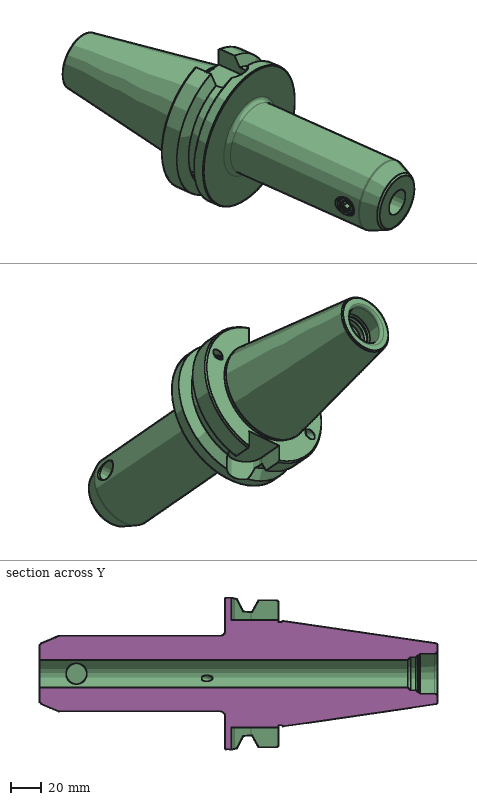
import cadquery as cq
import math

total_length = 261.8

gauge_radius = 34.8
gauge_x = 101.8
taper_slope = 7 / 24 / 2
taper_end_chamfer = 0.8
neck_start_x = 102.5
neck_radius = 34.0

flange_start_x = 104.5
flange_end_x = 139.8
flange_radius = 50.0
flange_chamfer = 1.0
flange_rear_chamfer = 0.5
groove_center_x = 125.0
groove_floor_width = 5.8
groove_floor_radius = 42.7
groove_wall_angle = 30.0

slot_width = 25.7
slot_floor_height = 35.3
slot_end_x = 135.5

shank_radius = 50.0 / 2
shank_fillet = 3.1
nose_start_x = 249.0
nose_blend_radius = 1.8
nose_radius = 18.8
nose_chamfer = 1.3

mouth_radius = 15.2
pilot_radius = 13.0
pilot_end_x = 11.3
middle_radius = 12.0
middle_end_x = 13.0
thread_radius = 10.7
thread_end_x = 17.8
bore_radius = 9.0

coolant_turn = 20.0
coolant_tilt = 35.0
coolant_radius = 2.0
coolant_mouth_hole_radius = 3.5
coolant_mouth_depth = 4.0
coolant_mouth_radius = 42.0
cross_hole_radius = 2.4

screw_x = 237.5
screw_radius = 6.8
screw_hole_rim_radius = 7.9
screw_recess = 1.5
screw_chamfer = 1.3
hex_across_flats = 6.0
hex_lead_in_radius = 4.0
hex_depth = 5.2


def revolved_body():
    """Outer shape of the holder, revolved about X."""
    taper_start_radius = gauge_radius - gauge_x * taper_slope
    wall_length = (flange_radius - groove_floor_radius) * math.tan(math.radians(groove_wall_angle))
    floor_start_x = groove_center_x - groove_floor_width / 2
    floor_end_x = groove_center_x + groove_floor_width / 2
    body = (
        cq.Workplane("XZ")
        .moveTo(0, 0)
        .lineTo(0, taper_start_radius - taper_end_chamfer)
        .lineTo(taper_end_chamfer, taper_start_radius + taper_end_chamfer * taper_slope)
        .lineTo(gauge_x, gauge_radius)
        .lineTo(neck_start_x, neck_radius)
        .lineTo(flange_start_x, neck_radius)
        .lineTo(flange_start_x, flange_radius - flange_chamfer)
        .lineTo(flange_start_x + flange_chamfer, flange_radius)
        .lineTo(floor_start_x - wall_length, flange_radius)
        .lineTo(floor_start_x, groove_floor_radius)
        .lineTo(floor_end_x, groove_floor_radius)
        .lineTo(floor_end_x + wall_length, flange_radius)
        .lineTo(flange_end_x - flange_rear_chamfer, flange_radius)
        .lineTo(flange_end_x, flange_radius - flange_rear_chamfer)
        .lineTo(flange_end_x, shank_radius + shank_fillet)
        .radiusArc((flange_end_x + shank_fillet, shank_radius), -shank_fillet)
        .lineTo(nose_start_x, shank_radius)
        .lineTo(total_length - nose_chamfer, nose_radius + nose_chamfer)
        .lineTo(total_length, nose_radius)
        .lineTo(total_length, 0)
        .close()
        .revolve(360, (0, 0, 0), (1, 0, 0))
    )
    nose_edge = cq.selectors.BoxSelector(
        (nose_start_x - nose_chamfer, -total_length, -total_length),
        (nose_start_x + nose_chamfer, total_length, total_length),
    )
    return body.edges(nose_edge).fillet(nose_blend_radius)


def stepped_bore():
    """Through bore: rounded mouth, pilot, two narrower steps and a plain bore, joined by 45 degree cones."""
    mouth_rounding = mouth_radius - pilot_radius
    return (
        cq.Workplane("XZ")
        .moveTo(0, 0)
        .lineTo(0, mouth_radius)
        .radiusArc((mouth_rounding, pilot_radius), -mouth_rounding)
        .lineTo(pilot_end_x, pilot_radius)
        .lineTo(pilot_end_x + pilot_radius - middle_radius, middle_radius)
        .lineTo(middle_end_x, middle_radius)
        .lineTo(middle_end_x + middle_radius - thread_radius, thread_radius)
        .lineTo(thread_end_x, thread_radius)
        .lineTo(thread_end_x + thread_radius - bore_radius, bore_radius)
        .lineTo(total_length, bore_radius)
        .lineTo(total_length, 0)
        .close()
        .revolve(360, (0, 0, 0), (1, 0, 0))
    )


def drive_slot(side):
    """Round-ended slot above (side = 1) or below (side = -1) the axis, open toward the taper."""
    slot_radius = slot_width / 2
    arc_center_x = slot_end_x - slot_radius
    return (
        cq.Workplane("XY")
        .workplane(offset=side * slot_floor_height)
        .moveTo(gauge_x, -slot_radius)
        .lineTo(arc_center_x, -slot_radius)
        .threePointArc((slot_end_x, 0), (arc_center_x, slot_radius))
        .lineTo(gauge_x, slot_radius)
        .close()
        .extrude(side * flange_radius)
    )


def coolant_passage(turn):
    """Hole from the flange face inclined to the bore, with a cross hole from the groove floor."""
    tilt = math.radians(coolant_tilt)
    direction = cq.Vector(math.cos(tilt), -math.sin(tilt), 0)
    mouth = cq.Vector(flange_start_x, coolant_mouth_radius, 0)
    lead_in = 2 * coolant_mouth_hole_radius
    length = coolant_mouth_radius / math.sin(tilt)
    inclined = cq.Solid.makeCylinder(coolant_radius, length, mouth, direction)
    widening = cq.Solid.makeCylinder(
        coolant_mouth_hole_radius,
        coolant_mouth_depth + lead_in,
        mouth - direction * lead_in,
        direction,
    )

    meeting_radius = coolant_mouth_radius - (groove_center_x - flange_start_x) * math.tan(tilt)
    cross = cq.Solid.makeCylinder(
        cross_hole_radius,
        flange_radius - meeting_radius,
        cq.Vector(groove_center_x, meeting_radius, 0),
        cq.Vector(0, 1, 0),
    )
    passage = cq.Workplane(obj=inclined).union(cq.Workplane(obj=widening)).union(cq.Workplane(obj=cross))
    return passage.rotate((0, 0, 0), (1, 0, 0), turn)


def screw_hole():
    """Countersunk hole straight across the tool shank, along Y."""
    countersink_depth = screw_hole_rim_radius - screw_radius
    return (
        cq.Workplane("XY")
        .moveTo(screw_x, -shank_radius)
        .lineTo(screw_x + screw_hole_rim_radius, -shank_radius)
        .lineTo(screw_x + screw_radius, -shank_radius + countersink_depth)
        .lineTo(screw_x + screw_radius, shank_radius - countersink_depth)
        .lineTo(screw_x + screw_hole_rim_radius, shank_radius)
        .lineTo(screw_x, shank_radius)
        .close()
        .revolve(360, (screw_x, 0, 0), (screw_x, 1, 0))
    )


def make_holder():
    holder = revolved_body().cut(stepped_bore())
    for side in (1, -1):
        holder = holder.cut(drive_slot(side))
    for turn in (coolant_turn, coolant_turn + 180):
        holder = holder.cut(coolant_passage(turn))
    return holder.cut(screw_hole())


def make_screw():
    """Hex socket set screw in the -Y wall, ending at the bore."""
    screw_length = shank_radius - screw_recess - bore_radius
    hex_corner_diameter = hex_across_flats / math.cos(math.radians(30))
    outer_face = cq.Workplane("XZ", origin=(screw_x, -shank_radius + screw_recess, 0))
    body = outer_face.circle(screw_radius).extrude(-screw_length).faces("<Y").chamfer(screw_chamfer)
    socket = outer_face.transformed(rotate=(0, 0, 90)).polygon(6, hex_corner_diameter).extrude(-hex_depth)
    lead_in_depth = hex_lead_in_radius - hex_across_flats / 2
    lead_in = cq.Solid.makeCone(
        hex_lead_in_radius,
        hex_across_flats / 2,
        lead_in_depth,
        cq.Vector(screw_x, -shank_radius + screw_recess, 0),
        cq.Vector(0, 1, 0),
    )
    return body.cut(socket).cut(cq.Workplane(obj=lead_in))


holder = make_holder()
screw = make_screw()
result = cq.Compound.makeCompound([holder.val(), screw.val()])